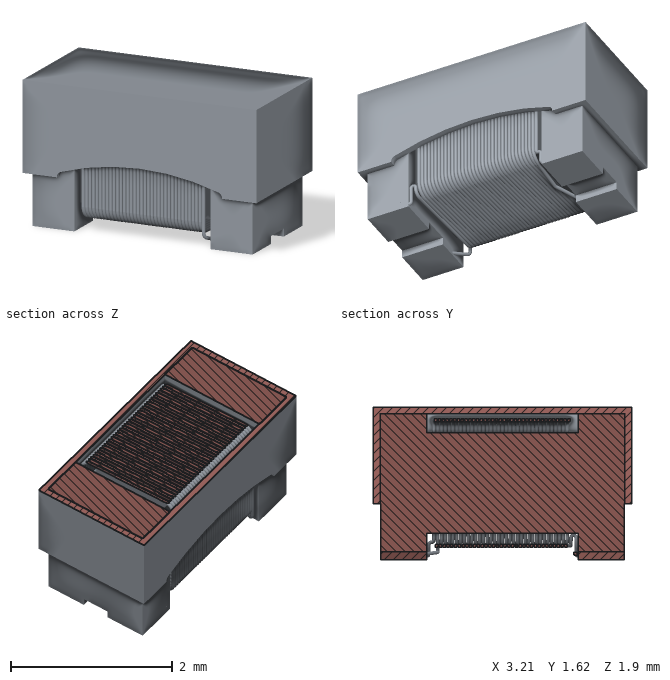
import cadquery as cq
import math

LENGTH = 3.21
WIDTH = 1.62
HEIGHT = 1.9

CAP_HEIGHT = 1.205
CAP_WALL_X = 0.093
ARCH_TOP = 0.947
ARCH_SHOULDER_X = 1.09
ARCH_SHOULDER_Z = 0.77
ARCH_FOOT_X = 1.135
ARCH_FOOT_BULGE_X = 1.125
ARCH_FOOT_BULGE_Z = 0.74

CORE_WIDTH = 1.445
FLANGE_LENGTH = 0.575
CAP_WALL_Y = (WIDTH - CORE_WIDTH) / 2
CAP_BOTTOM = HEIGHT - CAP_HEIGHT
CORE_LENGTH = LENGTH - 2 * CAP_WALL_X
FLANGE_INNER_X = CORE_LENGTH / 2 - FLANGE_LENGTH

TERMINAL_WIDTH = 0.54
TERMINAL_HEIGHT = 0.103
TERMINAL_X = FLANGE_INNER_X + FLANGE_LENGTH / 2
TERMINAL_Y = (CORE_WIDTH - TERMINAL_WIDTH) / 2

CORE_BOTTOM = TERMINAL_HEIGHT
CORE_TOP = HEIGHT - CAP_WALL_Y
BAR_BOTTOM = 0.33
BAR_TOP = CORE_TOP - (BAR_BOTTOM - CORE_BOTTOM)

WIRE_DIAMETER = 0.045
TURNS = 18
COIL_SPAN = 1.653
STRAND_SPACING = COIL_SPAN / (2 * TURNS - 1)
TURN_PITCH = 2 * STRAND_SPACING
BOTTOM_SHARE = 0.75
BOTTOM_SHIFT = BOTTOM_SHARE * TURN_PITCH
TOP_SHIFT = TURN_PITCH - BOTTOM_SHIFT
CORNER_RADIUS = 0.155
COIL_Y = 0.695
COIL_BOTTOM = BAR_BOTTOM - CORNER_RADIUS
COIL_TOP = BAR_TOP + CORNER_RADIUS
BAR_WIDTH = 2 * (COIL_Y - CORNER_RADIUS)
FIRST_STRAND_X = -COIL_SPAN / 2

LEAD_X = 0.915
LEAD_END_Z = 0.05
LEAD_END_RADIUS = 0.024
LEAD_BEND_RADIUS = 0.032
STEP_LEAD_Z = 0.22
HOOK_LEAD_Z = 0.308
HOOK_CORNER_RADIUS = 0.095
SWEEP_LEAD_Z = 0.135
SWEEP_LEAD_RADIUS = 0.08
SWEEP_LEAD_END = (0.963, -0.433, 0.04)
CROSS_LEAD_BEND = (-0.805, 0.112, 0.095)
CROSS_LEAD_END = (-0.963, -0.24, 0.075)
CROSS_LEAD_RADIUS = 0.065
SHORTEST_STRETCH = 3.21e-08


def box(size_x, size_y, bottom, top, x=0.0, y=0.0):
    return cq.Workplane("XY", (x, y, bottom)).box(size_x, size_y, top - bottom, centered=(True, True, False))


def make_cap():
    shell = box(LENGTH, WIDTH, CAP_BOTTOM, HEIGHT)
    pocket = box(CORE_LENGTH, CORE_WIDTH, CAP_BOTTOM, CORE_TOP)
    arch = (
        cq.Workplane("XZ")
        .moveTo(-ARCH_FOOT_X, CAP_BOTTOM)
        .threePointArc((-ARCH_FOOT_BULGE_X, ARCH_FOOT_BULGE_Z), (-ARCH_SHOULDER_X, ARCH_SHOULDER_Z))
        .threePointArc((0, ARCH_TOP), (ARCH_SHOULDER_X, ARCH_SHOULDER_Z))
        .threePointArc((ARCH_FOOT_BULGE_X, ARCH_FOOT_BULGE_Z), (ARCH_FOOT_X, CAP_BOTTOM))
        .close()
        .extrude(WIDTH / 2, both=True)
    )
    return shell.cut(pocket).cut(arch)


def make_core():
    core = box(2 * FLANGE_INNER_X, BAR_WIDTH, BAR_BOTTOM, BAR_TOP)
    for side in (-1, 1):
        core = core.union(box(FLANGE_LENGTH, CORE_WIDTH, CORE_BOTTOM, CORE_TOP, side * TERMINAL_X))
    return core


def make_terminal(side_x, side_y):
    return box(FLANGE_LENGTH, TERMINAL_WIDTH, 0, TERMINAL_HEIGHT, side_x * TERMINAL_X, side_y * TERMINAL_Y)


def rounded_path(start, corners, end):
    """Wire of straight stretches, with a tangent arc at each (point, radius) corner."""
    points = [cq.Vector(*start)] + [cq.Vector(*point) for point, _ in corners] + [cq.Vector(*end)]
    edges = []
    position = points[0]
    for index, (_, radius) in enumerate(corners, start=1):
        incoming = (points[index] - points[index - 1]).normalized()
        outgoing = (points[index + 1] - points[index]).normalized()
        setback = radius * math.tan(incoming.getAngle(outgoing) / 2)
        arc_start = points[index] - incoming * setback
        arc_end = points[index] + outgoing * setback
        if (arc_start - position).Length > SHORTEST_STRETCH:
            edges.append(cq.Edge.makeLine(position, arc_start))
        edges.append(cq.Edge.makeTangentArc(arc_start, incoming, arc_end))
        position = arc_end
    edges.append(cq.Edge.makeLine(position, points[-1]))
    return cq.Wire.assembleEdges(edges)


def coil_corners(first_x):
    """Corners from the first top run, front side at first_x, to the top of the last front leg."""
    corners = []
    for turn in range(TURNS):
        front_x = first_x + turn * TURN_PITCH
        back_x = front_x - TOP_SHIFT
        if turn > 0:
            corners.append(((back_x - BOTTOM_SHIFT, -COIL_Y, COIL_BOTTOM), CORNER_RADIUS))
            corners.append(((back_x, COIL_Y, COIL_BOTTOM), CORNER_RADIUS))
        corners.append(((back_x, COIL_Y, COIL_TOP), CORNER_RADIUS))
        corners.append(((front_x, -COIL_Y, COIL_TOP), CORNER_RADIUS))
    return corners


def sweep_wire(start, corners, end):
    """Round wire along the path, trimmed flush with the inner faces of the flanges."""
    path = rounded_path(start, corners, end)
    section = cq.Workplane(cq.Plane(path.startPoint(), normal=path.tangentAt(0)))
    wire = section.circle(WIRE_DIAMETER / 2).sweep(cq.Workplane(path))
    return wire.intersect(box(2 * FLANGE_INNER_X, WIDTH, 0, HEIGHT))


def make_rear_winding():
    """Winding with both leads at the rear: a stepped one on the left, a hooked one on the right."""
    first_x = FIRST_STRAND_X
    left_x = first_x - TOP_SHIFT
    last_front_x = first_x + (TURNS - 1) * TURN_PITCH
    right_x = last_front_x + BOTTOM_SHIFT
    step_lead = [
        ((-LEAD_X, COIL_Y, LEAD_END_Z), LEAD_END_RADIUS),
        ((-LEAD_X, COIL_Y, STEP_LEAD_Z), LEAD_BEND_RADIUS),
        ((left_x, COIL_Y, STEP_LEAD_Z), LEAD_BEND_RADIUS),
    ]
    hook_lead = [
        ((last_front_x, -COIL_Y, COIL_BOTTOM), CORNER_RADIUS),
        ((right_x, COIL_Y, COIL_BOTTOM), HOOK_CORNER_RADIUS),
        ((right_x, COIL_Y, HOOK_LEAD_Z), (LEAD_X - right_x) / 2),
        ((LEAD_X, COIL_Y, HOOK_LEAD_Z), (LEAD_X - right_x) / 2),
        ((LEAD_X, COIL_Y, LEAD_END_Z), LEAD_END_RADIUS),
    ]
    start = (-FLANGE_INNER_X - WIRE_DIAMETER, COIL_Y, LEAD_END_Z)
    end = (FLANGE_INNER_X + WIRE_DIAMETER, COIL_Y, LEAD_END_Z)
    return sweep_wire(start, step_lead + coil_corners(first_x) + hook_lead, end)


def make_front_winding():
    """Winding with both leads on the front terminals: one crosses under the coil, one sweeps outwards."""
    first_x = FIRST_STRAND_X + STRAND_SPACING
    left_x = first_x - TOP_SHIFT
    last_front_x = first_x + (TURNS - 1) * TURN_PITCH
    cross_lead = [
        (CROSS_LEAD_BEND, CROSS_LEAD_RADIUS),
        ((left_x, COIL_Y, COIL_BOTTOM), CORNER_RADIUS),
    ]
    sweep_lead = [((last_front_x, -COIL_Y, SWEEP_LEAD_Z), SWEEP_LEAD_RADIUS)]
    corners = cross_lead + coil_corners(first_x) + sweep_lead
    return sweep_wire(CROSS_LEAD_END, corners, SWEEP_LEAD_END)


cap = make_cap()
core = make_core()
terminals = [make_terminal(side_x, side_y) for side_x in (-1, 1) for side_y in (-1, 1)]
windings = [make_rear_winding(), make_front_winding()]

result = cq.Compound.makeCompound(
    [cap.val(), core.val()]
    + [terminal.val() for terminal in terminals]
    + [winding.val() for winding in windings]
)